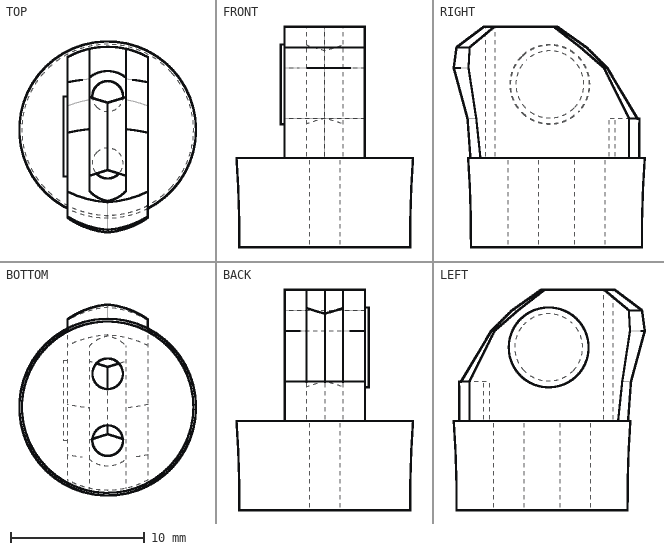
import cadquery as cq

base_height = 6.71
base_top_radius = 6.636
base_middle_radius = 6.46
base_bottom_radius = 6.43

total_height = 16.57
housing_half_width = 3.02
front_bow_fraction = 0.7
ledge_height = 9.66
shoulder_height = 13.47
brow_height = 15.01
housing_levels = [
    (base_height, 5.45, 6.23, -5.7, -6.46),
    (ledge_height, 5.45, 6.23, -6.01, -6.68),
    (shoulder_height, 3.56, 3.88, -6.6, -7.713),
    (brow_height, 1.79, 2.37, -6.51, -7.5),
    (total_height, -0.22, 0.12, -4.64, -5.43),
]

slot_half_width = 1.36
slot_front_side_y = -4.6
slot_front_middle_y = -5.34

hole_radius = 1.15
hole_offset = 2.5
pocket_back_side_y = 3.93
pocket_back_middle_y = 4.4

pin_radius = 3.0
pin_y = -0.5
pin_z = 12.23
pin_protrusion = 0.28
roller_rim_radius = 2.95
roller_groove_radius = 2.54


def make_base():
    """Solid of revolution with a gently curved flank."""
    return (
        cq.Workplane("XZ")
        .lineTo(base_bottom_radius, 0)
        .threePointArc((base_middle_radius, base_height / 2), (base_top_radius, base_height))
        .lineTo(0, base_height)
        .close()
        .revolve(360, (0, 0, 0), (0, 1, 0))
    )


def bowed_outline(height, half_width, back_side, back_middle, front_side, front_middle):
    """Closed outline with an arched back and a front of two arcs meeting in a crease."""
    halfway_x = half_width / 2
    halfway_y = front_side + front_bow_fraction * (front_middle - front_side)
    return (
        cq.Workplane("XY", origin=(0, 0, height))
        .moveTo(-half_width, front_side)
        .threePointArc((-halfway_x, halfway_y), (0, front_middle))
        .threePointArc((halfway_x, halfway_y), (half_width, front_side))
        .lineTo(half_width, back_side)
        .threePointArc((0, back_middle), (-half_width, back_side))
        .close()
    )


def housing_section(level):
    """Closed wire of the housing at one level."""
    height, *bow_places = level
    return bowed_outline(height, housing_half_width, *bow_places).val()


def make_housing():
    """Stack of straight-sided lofts between neighbouring levels."""
    sections = [housing_section(level) for level in housing_levels]
    return cq.Workplane(cq.Solid.makeLoft(sections, True))


def slot_cutter(floor_height, back_side_y, back_middle_y):
    """Upright cutter with a bowed front end and a bowed back end."""
    outline = bowed_outline(
        floor_height,
        slot_half_width,
        back_side_y,
        back_middle_y,
        slot_front_side_y,
        slot_front_middle_y,
    )
    return outline.extrude(total_height - floor_height)


def cut_slot(body):
    """Cut the open slot down to the ledge, then the closed pocket down to the base."""
    back_clearance = 0.17
    upper_slot = slot_cutter(ledge_height, base_top_radius, base_top_radius + back_clearance)
    pocket = slot_cutter(base_height, pocket_back_side_y, pocket_back_middle_y)
    return body.cut(upper_slot).cut(pocket)


def cut_cord_holes(body):
    holes = (
        cq.Workplane("XY")
        .pushPoints([(0, hole_offset), (0, -hole_offset)])
        .circle(hole_radius)
        .extrude(ledge_height)
    )
    return body.cut(holes)


def make_roller():
    """V-grooved roller bridging the slot."""
    return (
        cq.Workplane("XY")
        .moveTo(-slot_half_width, 0)
        .lineTo(-slot_half_width, roller_rim_radius)
        .lineTo(0, roller_groove_radius)
        .lineTo(slot_half_width, roller_rim_radius)
        .lineTo(slot_half_width, 0)
        .close()
        .revolve(360, (0, 0, 0), (1, 0, 0))
        .translate((0, pin_y, pin_z))
    )


def make_pin_head():
    return (
        cq.Workplane("YZ", origin=(-housing_half_width, pin_y, pin_z))
        .circle(pin_radius)
        .extrude(-pin_protrusion)
    )


body = make_base().union(make_housing())
body = cut_slot(body)
body = cut_cord_holes(body)
result = body.union(make_roller()).union(make_pin_head())